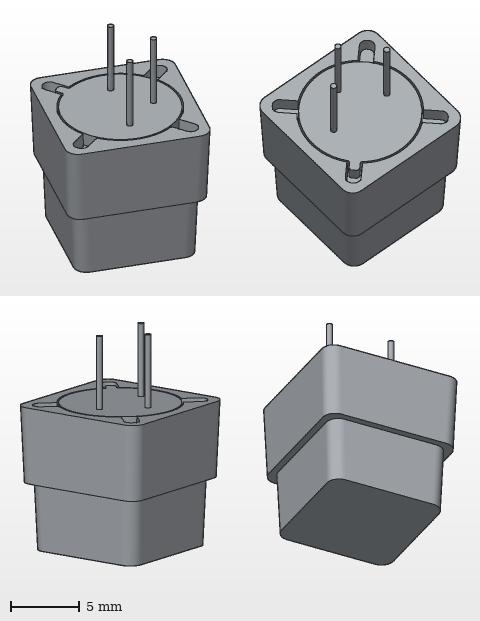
import cadquery as cq
import math

total_height = 16.4
housing_height = 10.9
step_height = 5.12
upper_width = 11.04
lower_width = 9.6
draft_angle = 2.0
corner_radius = 1.0

recess_radius = 4.65
recess_depth = 1.0
slot_width = 1.16
slot_reach = 6.48
slot_corner_radius = 0.54
slot_draft_angle = 4.5

disc_radius = 4.53
tab_width = 0.8
tab_reach = 5.31
tab_corner_radius = 0.26
tab_root_radius = 0.16
tab_angle = 225

pin_diameter = 0.46
pin_offset = 2.55
pin_positions = [(-pin_offset, 0), (pin_offset, 0), (0, pin_offset)]

recess_floor = housing_height - recess_depth


def make_tapered_block(bottom, top, top_width):
    """Rounded square block, narrowing downwards with constant corner radius."""
    height = top - bottom
    bottom_width = top_width - 2 * height * math.tan(math.radians(draft_angle))
    bottom_outline = cq.Sketch().rect(bottom_width, bottom_width).vertices().fillet(corner_radius)
    top_outline = cq.Sketch().rect(top_width, top_width).vertices().fillet(corner_radius)
    return (
        cq.Workplane("XY", origin=(0, 0, bottom))
        .placeSketch(bottom_outline, top_outline.moved(cq.Location(cq.Vector(0, 0, height))))
        .loft(ruled=True)
    )


def make_slot(angle):
    """Radial slot cutter from the axis outwards, narrowing downwards, with rounded outer corners."""
    arm = (
        cq.Workplane("XY", origin=(slot_reach / 2, 0, housing_height))
        .sketch()
        .rect(slot_reach, slot_width)
        .vertices(">X")
        .fillet(slot_corner_radius)
        .finalize()
        .extrude(-recess_depth, taper=slot_draft_angle)
    )
    return arm.rotate((0, 0, 0), (0, 0, 1), angle)


def make_housing():
    lower_block = make_tapered_block(0, step_height, lower_width)
    upper_block = make_tapered_block(step_height, housing_height, upper_width)
    recess = cq.Workplane("XY", origin=(0, 0, recess_floor)).circle(recess_radius).extrude(recess_depth)
    housing = lower_block.union(upper_block).cut(recess)
    for angle in (45, 135, 225, 315):
        housing = housing.cut(make_slot(angle))
    return housing


def make_insert():
    floor_plane = cq.Workplane("XY", origin=(0, 0, recess_floor))
    disc = floor_plane.circle(disc_radius).extrude(recess_depth)
    tab = (
        floor_plane.center(tab_reach / 2, 0)
        .rect(tab_reach, tab_width)
        .extrude(recess_depth)
        .edges("|Z and >X")
        .fillet(tab_corner_radius)
    )
    root_x = math.sqrt(disc_radius**2 - (tab_width / 2) ** 2)
    mid_height = recess_floor + recess_depth / 2
    insert = disc.union(tab)
    for root_y in (-tab_width / 2, tab_width / 2):
        root_edge = cq.NearestToPointSelector((root_x, root_y, mid_height))
        insert = insert.edges("|Z").edges(root_edge).fillet(tab_root_radius)
    return insert.rotate((0, 0, 0), (0, 0, 1), tab_angle)


def make_pin(position):
    pin_length = total_height - housing_height
    return (
        cq.Workplane("XY", origin=(*position, housing_height))
        .circle(pin_diameter / 2)
        .extrude(pin_length)
    )


housing = make_housing()
insert = make_insert()
pins = [make_pin(position).val() for position in pin_positions]

result = cq.Compound.makeCompound([housing.val(), insert.val(), *pins])